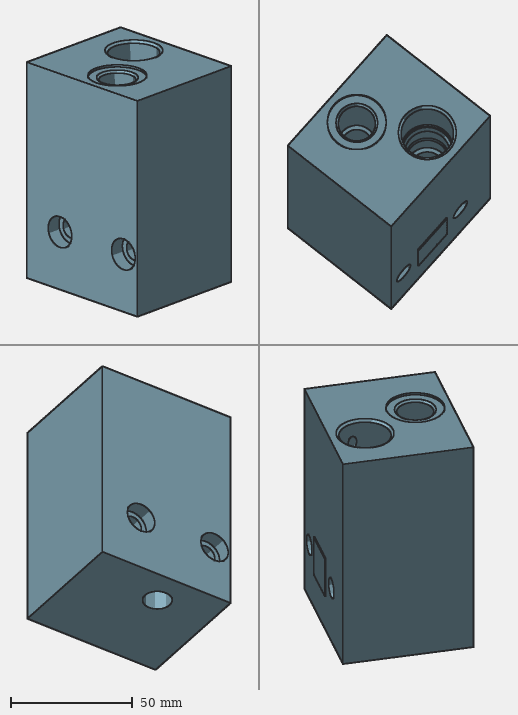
import cadquery as cq
import math

WIDTH = 63.5
DEPTH = 55.5
HEIGHT = 95.25

PLATE_WIDTH = 18.6
PLATE_HEIGHT = 17.7
PLATE_THICKNESS = 0.5

MOUNT_RADIUS = 4.4
MOUNT_COUNTERBORE_RADIUS = 6.8
MOUNT_COUNTERBORE_DEPTH = 6.4
MOUNT_SPACING = 36.4
MOUNT_CENTER_X = 37.3
MOUNT_Z = 25.4
MOUNT_XS = [MOUNT_CENTER_X + side * MOUNT_SPACING / 2 for side in (-1, 1)]

PORT_X = MOUNT_CENTER_X
PORT_Y = 15.1
PORT_SPOT_RADIUS = 12.1
PORT_SPOT_DEPTH = 1.0
PORT_CHAMFER_RADIUS = 8.6
PORT_RADIUS = 7.6
PORT_DEPTH = 23.8
PORT_PASSAGE_RADIUS = 6.1

CAVITY_X = 22.3
CAVITY_Y = 40.4
CAVITY_MOUTH_RADIUS = 11.9
CAVITY_THREAD_RADIUS = 10.8
CAVITY_MOUTH_DEPTH = 1.05
CAVITY_THREAD_DEPTH = 19.05
CAVITY_UPPER_RADIUS = 10.3
CAVITY_UPPER_DEPTH = 21.0
CAVITY_MIDDLE_RADIUS = 9.2
CAVITY_MIDDLE_DEPTH = 30.5
CAVITY_LOWER_RADIUS = 8.7
CAVITY_LOWER_DEPTH = 40.0
CAVITY_PILOT_RADIUS = 6.8
CAVITY_PILOT_DEPTH = 52.4

CROSS_RADIUS = 3.7
CROSS_ANGLE = 53.0
CROSS_SLOPE = 25.0
CROSS_OFFSET = 4.8
CROSS_ROUND_START = 0.8
CROSS_FLAT_END = 14.3
CROSS_DROP = 0.1

PASSAGE_RADIUS = 2.0
PASSAGE_ANGLE = 15.0
PASSAGE_SLOPE = 48.0
PASSAGE_WALL_DEPTH = 10.1
PASSAGE_LENGTH = 28.6

DRILL_TIP_HALF_ANGLE = math.radians(59)
STEP_HALF_ANGLE = math.radians(30)


def taper_depth(wide_radius, narrow_radius):
    """Axial length of a drill-angle cone between two radii."""
    return (wide_radius - narrow_radius) / math.tan(DRILL_TIP_HALF_ANGLE)


def step_depth(wide_radius, narrow_radius):
    """Axial length of the steep taper that leads into a narrower cavity step."""
    return (wide_radius - narrow_radius) / math.tan(STEP_HALF_ANGLE)


def revolved_cutter(x, y, profile):
    """Solid of revolution below the top face from (radius, depth) points."""
    points = [(radius, -depth) for radius, depth in profile]
    return (
        cq.Workplane("XZ")
        .polyline(points)
        .close()
        .revolve(360, (0, 0), (0, 1))
        .translate((x, y, HEIGHT))
    )


def port_cutter():
    chamfer_end = PORT_SPOT_DEPTH + PORT_CHAMFER_RADIUS - PORT_RADIUS
    passage_start = PORT_DEPTH + taper_depth(PORT_RADIUS, PORT_PASSAGE_RADIUS)
    return revolved_cutter(PORT_X, PORT_Y, [
        (0, 0),
        (PORT_SPOT_RADIUS, 0),
        (PORT_SPOT_RADIUS, PORT_SPOT_DEPTH),
        (PORT_CHAMFER_RADIUS, PORT_SPOT_DEPTH),
        (PORT_RADIUS, chamfer_end),
        (PORT_RADIUS, PORT_DEPTH),
        (PORT_PASSAGE_RADIUS, passage_start),
        (PORT_PASSAGE_RADIUS, HEIGHT),
        (0, HEIGHT),
    ])


def cavity_cutter():
    upper_start = CAVITY_THREAD_DEPTH + step_depth(CAVITY_THREAD_RADIUS, CAVITY_UPPER_RADIUS)
    middle_start = CAVITY_UPPER_DEPTH + step_depth(CAVITY_UPPER_RADIUS, CAVITY_MIDDLE_RADIUS)
    lower_start = CAVITY_MIDDLE_DEPTH + step_depth(CAVITY_MIDDLE_RADIUS, CAVITY_LOWER_RADIUS)
    tip_depth = CAVITY_PILOT_DEPTH + taper_depth(CAVITY_PILOT_RADIUS, 0)
    return revolved_cutter(CAVITY_X, CAVITY_Y, [
        (0, 0),
        (CAVITY_MOUTH_RADIUS, 0),
        (CAVITY_THREAD_RADIUS, CAVITY_MOUTH_DEPTH),
        (CAVITY_THREAD_RADIUS, CAVITY_THREAD_DEPTH),
        (CAVITY_UPPER_RADIUS, upper_start),
        (CAVITY_UPPER_RADIUS, CAVITY_UPPER_DEPTH),
        (CAVITY_MIDDLE_RADIUS, middle_start),
        (CAVITY_MIDDLE_RADIUS, CAVITY_MIDDLE_DEPTH),
        (CAVITY_LOWER_RADIUS, lower_start),
        (CAVITY_LOWER_RADIUS, CAVITY_LOWER_DEPTH),
        (CAVITY_PILOT_RADIUS, CAVITY_LOWER_DEPTH),
        (CAVITY_PILOT_RADIUS, CAVITY_PILOT_DEPTH),
        (0, tip_depth),
    ])


def cross_cutter():
    """Revolved about its own axis, then sloped and turned into place beside the cavity axis."""
    arc_offset = CROSS_RADIUS * math.sqrt(0.5)
    start_z = HEIGHT - CAVITY_PILOT_DEPTH - CROSS_DROP
    return (
        cq.Workplane("XY")
        .moveTo(CROSS_ROUND_START - CROSS_RADIUS, 0)
        .threePointArc(
            (CROSS_ROUND_START - arc_offset, arc_offset),
            (CROSS_ROUND_START, CROSS_RADIUS),
        )
        .lineTo(CROSS_FLAT_END, CROSS_RADIUS)
        .lineTo(CROSS_FLAT_END, 0)
        .close()
        .revolve(360, (0, 0), (1, 0))
        .rotate((0, 0, 0), (0, 1, 0), CROSS_SLOPE)
        .translate((0, -CROSS_OFFSET, start_z))
        .rotate((0, 0, 0), (0, 0, 1), CROSS_ANGLE)
        .translate((CAVITY_X, CAVITY_Y, 0))
    )


def passage_cutter():
    """Drilling that starts on the cavity axis and meets the wall at the given depth."""
    rise = CAVITY_THREAD_RADIUS * math.tan(math.radians(PASSAGE_SLOPE))
    start_z = HEIGHT - PASSAGE_WALL_DEPTH + rise
    return (
        cq.Workplane("YZ")
        .circle(PASSAGE_RADIUS)
        .extrude(PASSAGE_LENGTH)
        .rotate((0, 0, 0), (0, 1, 0), PASSAGE_SLOPE)
        .rotate((0, 0, 0), (0, 0, 1), PASSAGE_ANGLE)
        .translate((CAVITY_X, CAVITY_Y, start_z))
    )


def front_cutter(x, radius, depth):
    return cq.Workplane("XZ", origin=(x, 0, MOUNT_Z)).circle(radius).extrude(-depth)


def make_block():
    block = cq.Workplane("XY").box(WIDTH, DEPTH, HEIGHT, centered=False)
    block = block.cut(port_cutter()).cut(cavity_cutter())
    block = block.cut(cross_cutter()).cut(passage_cutter())
    for x in MOUNT_XS:
        block = block.cut(front_cutter(x, MOUNT_RADIUS, DEPTH))
        block = block.cut(front_cutter(x, MOUNT_COUNTERBORE_RADIUS, MOUNT_COUNTERBORE_DEPTH))
    return block


def make_plate():
    plate_center = (MOUNT_CENTER_X, DEPTH + PLATE_THICKNESS / 2, MOUNT_Z)
    return (
        cq.Workplane("XY")
        .box(PLATE_WIDTH, PLATE_THICKNESS, PLATE_HEIGHT)
        .translate(plate_center)
    )


block = make_block()
plate = make_plate()
result = cq.Compound.makeCompound([block.solids().val(), plate.val()])